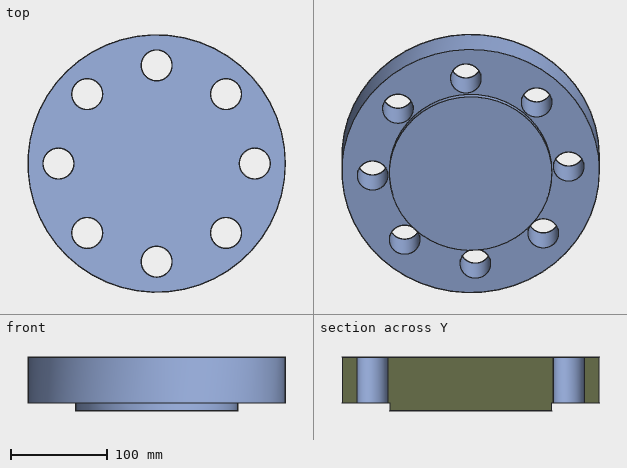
import cadquery as cq

flange_diameter = 266.5
total_height = 55.7
face_diameter = 168.2
face_height = 8.0
bolt_circle_diameter = 203.2
bolt_hole_diameter = 31.7
bolt_hole_count = 8

flange_thickness = total_height - face_height


def make_blank():
    """Round flange disc with a smaller raised face on its underside."""
    flange = cq.Workplane("XY").circle(flange_diameter / 2).extrude(flange_thickness)
    raised_face = cq.Workplane("XY").circle(face_diameter / 2).extrude(-face_height)
    return flange.union(raised_face)


def make_bolt_holes():
    """Cylinders for the through bolt holes, evenly spaced from the +X axis."""
    return (
        cq.Workplane("XY")
        .polarArray(bolt_circle_diameter / 2, 0, 360, bolt_hole_count)
        .circle(bolt_hole_diameter / 2)
        .extrude(flange_thickness)
    )


result = make_blank().cut(make_bolt_holes())